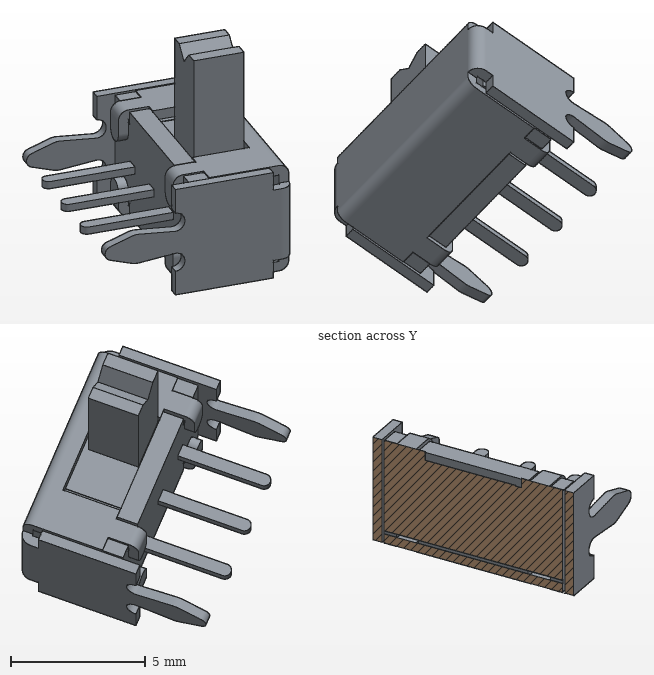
import cadquery as cq
import math


frame_length = 8.6
frame_height = 4.4
sheet = 0.4
back_y = 4.7
side_gap = 0.07
half_length = frame_length / 2
half_height = frame_height / 2
side_inner_x = half_length - sheet
body_half_length = side_inner_x - side_gap
side_bend_radius = sheet + side_gap
cover_front_y = 1.52
corner_notch_length = 0.8
bend_strip_half_height = 1.47

tab_width = 0.82
tab_x = 2.85
tab_tip_z = 0.81

relief_radius = 0.375
prong_neck_half = 0.46
prong_wide_half = 0.615
prong_wide_y = -1.6
prong_corner_radius = 0.7
prong_tip_y = -2.8
prong_tip_radius = 0.3

housing_front_y = 0.7
housing_back_y = 3.98
housing_bottom_z = -1.68
cover_inner_z = half_height - sheet
front_wall_inset = 0.04
front_wall_half_height = half_height - front_wall_inset
tab_slot_outer_x = 3.29
tab_slot_inner_x = 2.34
tab_slot_floor_z = 1.65

window_half_length = 2.05
window_back_y = 3.8
slider_left_x = -1.8
slider_top_z = 1.83
lever_width = 2.0
lever_x = 1.02
lever_back_y = 3.6
lever_height = 4.0
lever_notch_x = 1.0
lever_notch_width = 1.0
lever_notch_depth = 0.5

terminal_pitch = 2.0
terminal_width = 0.5
terminal_thickness = 0.3
terminal_tip_y = -2.9


def block(x_range, y_range, z_range):
    """Axis-aligned box spanning the given (low, high) ranges."""
    lows, highs = zip(x_range, y_range, z_range)
    sizes = [high - low for low, high in zip(lows, highs)]
    return cq.Workplane("XY").box(*sizes, centered=False).translate(lows)


def make_wrapper():
    """Back plate with the two long covers folded forward from it."""
    length = (-body_half_length, body_half_length)
    outer = block(length, (cover_front_y, back_y), (-half_height, half_height))
    outer = outer.edges("|X and >Y").fillet(sheet)
    cavity = block(length, (cover_front_y, back_y - sheet), (-cover_inner_z, cover_inner_z))
    window = block(
        (-window_half_length, window_half_length),
        (cover_front_y, window_back_y),
        (cover_inner_z, half_height),
    )
    return outer.cut(cavity).cut(window)


def make_bend_strip():
    """Strip behind the housing, rounded where it turns into the side plates."""
    strip_height = (-bend_strip_half_height, bend_strip_half_height)
    side_front_y = back_y - corner_notch_length
    outer = block((-half_length, half_length), (side_front_y, back_y), strip_height)
    outer = outer.edges("|Z and >Y").fillet(side_bend_radius)
    cavity = block((-side_inner_x, side_inner_x), (side_front_y, back_y - sheet), strip_height)
    return outer.cut(cavity)


def make_side_plate():
    """Side plate at +X with its board prong and the two relief notches beside it."""
    plate = block(
        (side_inner_x, half_length),
        (0, back_y - corner_notch_length),
        (-half_height, half_height),
    )
    relief_z = prong_neck_half + relief_radius
    reliefs = (
        cq.Workplane("YZ", origin=(side_inner_x, 0, 0))
        .pushPoints([(0, relief_z), (0, -relief_z)])
        .circle(relief_radius)
        .extrude(sheet)
    )
    return plate.cut(reliefs).union(make_prong())


def make_prong():
    """Prong that widens to a shoulder, then tapers tangentially into a round tip."""
    tip_centre_y = prong_tip_y + prong_tip_radius
    shoulder_offset = prong_wide_y - tip_centre_y
    shoulder_distance = math.hypot(shoulder_offset, prong_wide_half)
    tangent_angle = math.atan2(prong_wide_half, shoulder_offset)
    tangent_angle += math.acos(prong_tip_radius / shoulder_distance)
    tangent_y = tip_centre_y + prong_tip_radius * math.cos(tangent_angle)
    tangent_z = prong_tip_radius * math.sin(tangent_angle)
    prong = (
        cq.Workplane("YZ", origin=(side_inner_x, 0, 0))
        .moveTo(0, prong_neck_half)
        .lineTo(prong_wide_y, prong_wide_half)
        .lineTo(tangent_y, tangent_z)
        .threePointArc((prong_tip_y, 0), (tangent_y, -tangent_z))
        .lineTo(prong_wide_y, -prong_wide_half)
        .lineTo(0, -prong_neck_half)
        .close()
        .extrude(sheet)
    )
    return prong.edges("|X and (>Z or <Z)").fillet(prong_corner_radius)


def make_tab():
    """Upper tab at +X, folded down over the front of the housing."""
    tab_front_y = housing_front_y - sheet
    tab_x_range = (tab_x - tab_width / 2, tab_x + tab_width / 2)
    arm = block(tab_x_range, (tab_front_y, cover_front_y), (cover_inner_z, half_height))
    tip_centre_z = tab_tip_z + tab_width / 2
    leaf = (
        cq.Workplane("XZ", origin=(0, housing_front_y, 0))
        .moveTo(tab_x_range[0], half_height)
        .lineTo(tab_x_range[0], tip_centre_z)
        .threePointArc((tab_x, tab_tip_z), (tab_x_range[1], tip_centre_z))
        .lineTo(tab_x_range[1], half_height)
        .close()
        .extrude(sheet)
    )
    tab = arm.union(leaf)
    return tab.edges("|X and <Y and >Z").fillet(sheet)


def make_housing():
    """Moulded core with a taller front wall, slotted for the tabs."""
    length = (-body_half_length, body_half_length)
    core = block(length, (housing_front_y, housing_back_y), (housing_bottom_z, cover_inner_z))
    front_wall = block(
        length,
        (housing_front_y, cover_front_y),
        (-front_wall_half_height, front_wall_half_height),
    )
    housing = core.union(front_wall)
    slot = block(
        (tab_slot_inner_x, tab_slot_outer_x),
        (housing_front_y, cover_front_y),
        (tab_slot_floor_z, half_height),
    )
    return housing.cut(four_corners(slot))


def four_corners(feature):
    """Feature repeated by mirroring in X and Z."""
    pair = feature.union(feature.mirror("YZ"))
    return pair.union(pair.mirror("XY"))


def make_slider():
    """Slider plate in the window, carrying the lever with its V-notched end."""
    plate = block(
        (slider_left_x, window_half_length),
        (cover_front_y, window_back_y),
        (cover_inner_z, slider_top_z),
    )
    lever_left = lever_x - lever_width / 2
    lever_right = lever_x + lever_width / 2
    lever_top = half_height + lever_height
    lever = (
        cq.Workplane("XZ", origin=(0, lever_back_y, 0))
        .moveTo(lever_left, cover_inner_z)
        .lineTo(lever_right, cover_inner_z)
        .lineTo(lever_right, lever_top)
        .lineTo(lever_notch_x + lever_notch_width / 2, lever_top)
        .lineTo(lever_notch_x, lever_top - lever_notch_depth)
        .lineTo(lever_notch_x - lever_notch_width / 2, lever_top)
        .lineTo(lever_left, lever_top)
        .close()
        .extrude(lever_width)
    )
    return plate.union(lever)


def make_terminal(x):
    """Flat terminal with a rounded tip."""
    half_width = terminal_width / 2
    tip_centre_y = terminal_tip_y + half_width
    return (
        cq.Workplane("XY", origin=(x, 0, -terminal_thickness / 2))
        .moveTo(-half_width, housing_front_y)
        .lineTo(-half_width, tip_centre_y)
        .threePointArc((0, terminal_tip_y), (half_width, tip_centre_y))
        .lineTo(half_width, housing_front_y)
        .close()
        .extrude(terminal_thickness)
    )


side_plate = make_side_plate()

result = make_wrapper().union(make_bend_strip())
result = result.union(side_plate).union(side_plate.mirror("YZ"))
result = result.union(make_housing())
result = result.union(four_corners(make_tab()))
result = result.union(make_slider())
for position in (-1, 0, 1):
    result = result.union(make_terminal(position * terminal_pitch))